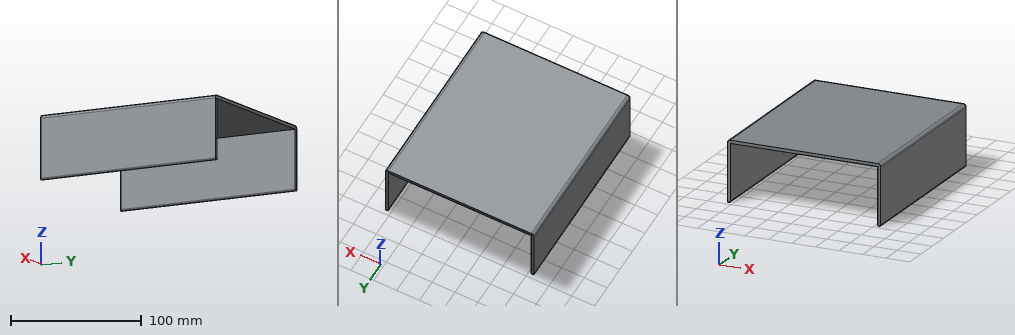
import cadquery as cq

width = 130.1
length = 152.4
height = 50.7
wall = 2.6
bend_radius = wall
lip_radius = 1.15

inner_width = width - 2 * wall
inner_height = height - wall

channel = cq.Workplane("XY").box(width, length, height, centered=(True, True, False))
channel = channel.edges("|Y and >Z").fillet(bend_radius)

cavity = cq.Workplane("XY").box(inner_width, length, inner_height, centered=(True, True, False))
channel = channel.cut(cavity)

result = channel.edges("|Y and <Z").fillet(lip_radius)